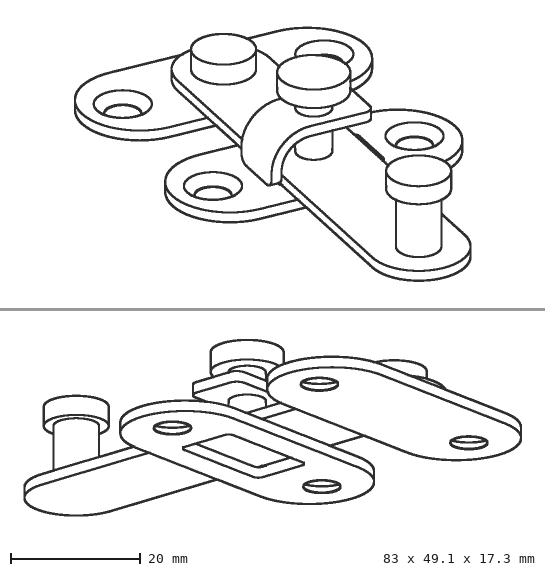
import cadquery as cq
import math

sheet = 1.75

plate_width = 20.0
plate_length = 49.1
screw_spacing = 35.0
screw_hole_diameter = 5.7
countersink_diameter = 9.0
countersink_angle = 90

handle_x = 65.0
arm_width = 16.0
handle_stem_diameter = 7.05
handle_head_diameter = 10.05
handle_head_bottom = 13.5
handle_top = 16.7

pivot_diameter = 10.05
pivot_top = 7.0

catch_x = 30.05
hook_width = 10.05
hook_front_y = -10
hook_tip_y = 8.0
hook_top = 11.0
hook_bend_radius = 6.7
corner_radius = 1.6
window_back_y = 10
window_corner_radius = 1.0

knob_stem_diameter = 5.7
knob_head_diameter = 11.3
knob_head_bottom = 14.0
knob_top = 17.3

arm_top = 2 * sheet


def cylinder(x, diameter, bottom, top):
    """Vertical cylinder on the arm's centre line."""
    return cq.Workplane("XY", origin=(x, 0, bottom)).circle(diameter / 2).extrude(top - bottom)


def make_mounting_plate(x):
    """Round-ended plate with two countersunk screw holes."""
    return (
        cq.Workplane("XY", origin=(x, 0, 0))
        .slot2D(plate_length, plate_width, 90)
        .extrude(sheet)
        .faces(">Z").workplane(origin=(x, 0, sheet))
        .pushPoints([(0, -screw_spacing / 2), (0, screw_spacing / 2)])
        .cskHole(screw_hole_diameter, countersink_diameter, countersink_angle)
    )


def make_hinge_plate():
    """Mounting plate with the stud that the arm turns on."""
    return make_mounting_plate(0).union(cylinder(0, pivot_diameter, 0, pivot_top))


def make_hook():
    """Strip that stands on the plate and bends back over the arm."""
    inner_radius = hook_bend_radius - sheet
    bend_y = hook_front_y + hook_bend_radius
    bend_z = hook_top - hook_bend_radius
    diagonal = math.sqrt(0.5)
    strip = (
        cq.Workplane("YZ", origin=(catch_x - hook_width / 2, 0, 0))
        .moveTo(hook_front_y, sheet)
        .lineTo(hook_front_y, bend_z)
        .threePointArc(
            (bend_y - hook_bend_radius * diagonal, bend_z + hook_bend_radius * diagonal),
            (bend_y, hook_top),
        )
        .lineTo(hook_tip_y, hook_top)
        .lineTo(hook_tip_y, hook_top - sheet)
        .lineTo(bend_y, hook_top - sheet)
        .threePointArc(
            (bend_y - inner_radius * diagonal, bend_z + inner_radius * diagonal),
            (hook_front_y + sheet, bend_z),
        )
        .lineTo(hook_front_y + sheet, sheet)
        .close()
        .extrude(hook_width)
    )
    strip = strip.faces(">Y").edges("|Z").fillet(corner_radius)
    strip = strip.faces("<Z").edges("|Y").fillet(corner_radius)
    return strip.cut(cylinder(catch_x, knob_stem_diameter, arm_top, hook_top))


def make_catch_plate():
    """Mounting plate with a window behind the foot of the hook."""
    window_front_y = hook_front_y + sheet
    window = (
        cq.Workplane("XY", origin=(catch_x, (window_front_y + window_back_y) / 2, 0))
        .rect(hook_width, window_back_y - window_front_y)
        .extrude(sheet)
        .edges("|Z").fillet(window_corner_radius)
    )
    return make_mounting_plate(catch_x).cut(window).union(make_hook())


def make_arm():
    """Round-ended bar with a hole for the pivot stud and a headed handle."""
    bar = (
        cq.Workplane("XY", origin=(handle_x / 2, 0, sheet))
        .slot2D(handle_x + arm_width, arm_width)
        .extrude(sheet)
    )
    stem = cylinder(handle_x, handle_stem_diameter, sheet, handle_head_bottom)
    head = cylinder(handle_x, handle_head_diameter, handle_head_bottom, handle_top)
    pivot_hole = cylinder(0, pivot_diameter, sheet, arm_top)
    return bar.cut(pivot_hole).union(stem).union(head)


def make_knob():
    """Headed pin that passes through the hook and rests on the arm."""
    stem = cylinder(catch_x, knob_stem_diameter, arm_top, knob_head_bottom)
    head = cylinder(catch_x, knob_head_diameter, knob_head_bottom, knob_top)
    return stem.union(head)


hinge_plate = make_hinge_plate()
catch_plate = make_catch_plate()
arm = make_arm()
knob = make_knob()

result = cq.Compound.makeCompound([hinge_plate.val(), catch_plate.val(), arm.val(), knob.val()])